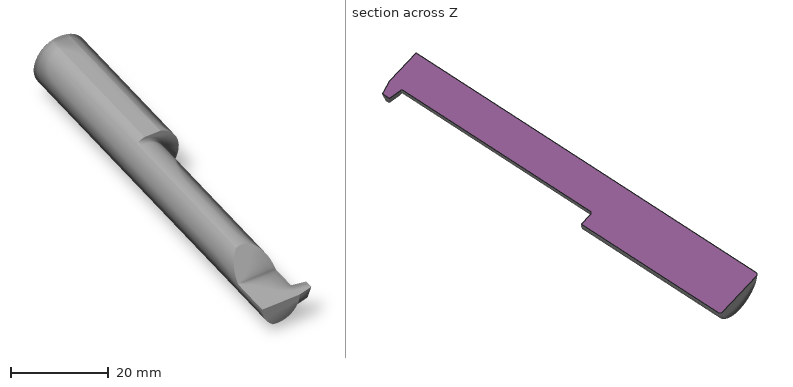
import cadquery as cq
import math

total_length = 88.9
shank_radius = 6.35
shank_length = 36.2
shank_flat_height = 6.06
shank_chamfer = 0.4

neck_radius = 5.25
neck_axis_y = -2.54
neck_side_y = neck_axis_y + neck_radius
shoulder_fillet = 0.5

rake_face_z = 0.0
rake_face_length = 9.3
ramp_run = 5.1
ramp_rise = neck_radius - rake_face_z

tooth_base_width = 3.4
tooth_tip_width = 1.95
tooth_tip_setback = 0.8
tooth_tip_y = 6.0
tooth_relief_angle = 12.0
tooth_depth = 3.0
tooth_base_start = total_length - tooth_base_width
tooth_tip_end = total_length - tooth_tip_setback
tooth_tip_start = tooth_tip_end - tooth_tip_width
tooth_root_y = neck_axis_y

cut_margin = 2.0


def make_shank_bar():
    """Full-length round bar with a chamfered back end and a flat along its top."""
    bar = cq.Workplane("YZ").circle(shank_radius).extrude(total_length)
    bar = bar.faces("<X").chamfer(shank_chamfer)
    flat_cut = (
        cq.Workplane("XY")
        .workplane(offset=shank_flat_height)
        .rect(2 * total_length, 4 * shank_radius)
        .extrude(shank_radius)
    )
    return bar.cut(flat_cut)


def make_neck_envelope():
    """Revolved body that leaves the shank whole and turns the neck down with a filleted shoulder."""
    outer_radius = 2 * shank_radius
    fillet_top = neck_radius + shoulder_fillet
    mid_reach = shoulder_fillet * (1 - math.sqrt(0.5))
    return (
        cq.Workplane("XZ")
        .moveTo(-cut_margin, 0)
        .lineTo(-cut_margin, outer_radius)
        .lineTo(shank_length, outer_radius)
        .lineTo(shank_length, fillet_top)
        .threePointArc(
            (shank_length + mid_reach, neck_radius + mid_reach),
            (shank_length + shoulder_fillet, neck_radius),
        )
        .lineTo(total_length + cut_margin, neck_radius)
        .lineTo(total_length + cut_margin, 0)
        .close()
        .revolve(360, (0, 0, 0), (1, 0, 0))
        .translate((0, neck_axis_y, 0))
    )


def make_head_cut():
    """Material above the rake face and its ramp, as wide as the bar."""
    floor_start = total_length - rake_face_length
    slope = ramp_run / ramp_rise
    cut_height = 2 * shank_radius
    end_x = total_length + cut_margin
    return (
        cq.Workplane("XZ")
        .moveTo(floor_start, rake_face_z)
        .lineTo(end_x, rake_face_z)
        .lineTo(end_x, rake_face_z + cut_height)
        .lineTo(floor_start - cut_height * slope, rake_face_z + cut_height)
        .close()
        .extrude(2 * shank_radius, both=True)
    )


def make_tooth():
    """Tapered tooth level with the rake face, relieved below its tip and both flanks."""
    return (
        cq.Workplane("XY")
        .workplane(offset=rake_face_z)
        .moveTo(tooth_base_start, tooth_root_y)
        .lineTo(tooth_base_start, neck_side_y)
        .lineTo(tooth_tip_start, tooth_tip_y)
        .lineTo(tooth_tip_end, tooth_tip_y)
        .lineTo(total_length, neck_side_y)
        .lineTo(total_length, tooth_root_y)
        .close()
        .extrude(-tooth_depth, taper=tooth_relief_angle)
    )


body = make_shank_bar().intersect(make_neck_envelope())
result = body.cut(make_head_cut()).union(make_tooth())